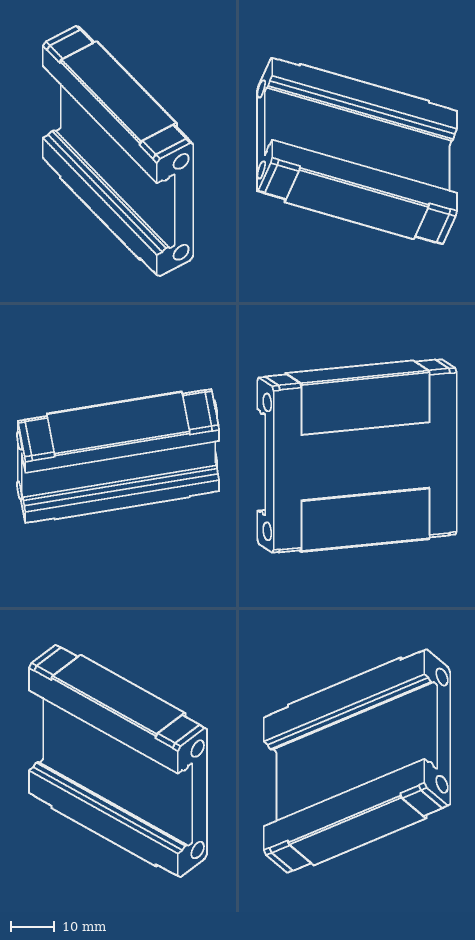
import cadquery as cq

total_length = 46.1
depth = 10.6
height = 40.0

stud_height = 0.5
cap_plate_thickness = 1.6
steel_length = 31.45
cap_length = total_length - 2 * stud_height
cap_body_length = cap_length - 2 * cap_plate_thickness

cap_body_inset = 0.2
cap_body_height = height - 2 * cap_body_inset
cap_plate_inset = 0.28
cap_plate_height = height - 2 * cap_plate_inset
back_step = 0.3
cap_depth = depth - back_step
cap_plate_chamfer = 0.9
cap_body_chamfer = 0.88
steel_chamfer = 0.35

channel_height = 24.05
channel_floor_y = 5.05
channel_corner_radius = 0.45
bead_y = 2.65
bead_half_width = 1.05
bead_height = 0.65
bead_flank_offset = 0.6
bead_flank_height = 0.44

relief_floor_height = 15.4
relief_mouth_height = 15.75

stud_radius = 2.07
stud_edge_radius = 0.45
stud_y = 6.78
stud_z = 15.25


def chamfered_bar(length, bar_depth, bar_height, chamfer):
    """Bar centred in X and Z, front at Y = 0, with its long edges chamfered."""
    bar = cq.Workplane("XY").box(length, bar_depth, bar_height, centered=(True, False, True))
    return bar.edges("|X").chamfer(chamfer)


def relief():
    """Shallow groove along the back of the steel body, with sloping walls."""
    floor = relief_floor_height / 2
    mouth = relief_mouth_height / 2
    outline = [(cap_depth, -floor), (depth, -mouth), (depth, mouth), (cap_depth, floor)]
    return cq.Workplane("YZ").polyline(outline).close().extrude(steel_length / 2, both=True)


def channel():
    """Rail channel with rounded inner corners."""
    block = cq.Workplane("XY").box(
        cap_length, channel_floor_y, channel_height, centered=(True, False, True)
    )
    return block.edges("|X and >Y").fillet(channel_corner_radius)


def bead(side):
    """Bead of two convex flanks along the upper (side = 1) or lower (side = -1) channel wall."""
    wall_z = side * channel_height / 2
    flank_z = wall_z - side * bead_flank_height
    crown = (bead_y, wall_z - side * bead_height)
    return (
        cq.Workplane("YZ")
        .moveTo(bead_y - bead_half_width, wall_z)
        .threePointArc((bead_y - bead_flank_offset, flank_z), crown)
        .threePointArc((bead_y + bead_flank_offset, flank_z), (bead_y + bead_half_width, wall_z))
        .close()
        .extrude(cap_length / 2, both=True)
    )


def stud_pair(side):
    """Studs projecting from both end faces, with rounded rims."""
    return (
        cq.Workplane("YZ")
        .center(stud_y, side * stud_z)
        .circle(stud_radius)
        .extrude(total_length / 2, both=True)
        .edges("%CIRCLE")
        .fillet(stud_edge_radius)
    )


steel_body = chamfered_bar(steel_length, depth, height, steel_chamfer).cut(relief())
cap_body = chamfered_bar(cap_body_length, cap_depth, cap_body_height, cap_body_chamfer)
cap_plates = chamfered_bar(cap_length, cap_depth, cap_plate_height, cap_plate_chamfer)

result = steel_body.union(cap_body).union(cap_plates).cut(channel())
for side in (-1, 1):
    result = result.union(bead(side)).union(stud_pair(side))